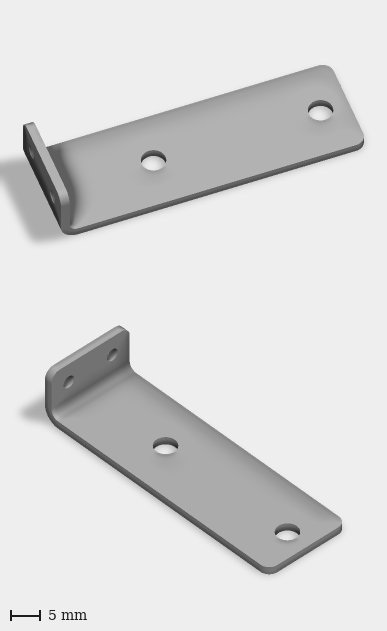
import cadquery as cq

width = 18.0
length = 55.0
height = 11.0

thickness = 1.6
inner_bend_radius = 1.6
outer_bend_radius = inner_bend_radius + thickness
corner_radius = 2.0

base_hole_diameter = 4.3
base_hole_edge_distance = 5.0
base_hole_spacing = 30.0

flange_hole_diameter = 2.5
flange_hole_top_distance = 4.0
flange_hole_spacing = 10.0



def bent_sheet():
    """L-shaped sheet, centred on X, with concentric bend radii."""
    profile = (
        cq.Workplane("YZ")
        .moveTo(length, 0)
        .lineTo(length, thickness)
        .lineTo(outer_bend_radius, thickness)
        .radiusArc((thickness, outer_bend_radius), inner_bend_radius)
        .lineTo(thickness, height)
        .lineTo(0, height)
        .lineTo(0, outer_bend_radius)
        .radiusArc((outer_bend_radius, 0), -outer_bend_radius)
        .close()
    )
    return profile.extrude(width / 2, both=True)


def base_holes():
    """Two cutters on the centreline of the base."""
    far_hole_y = length - base_hole_edge_distance
    near_hole_y = far_hole_y - base_hole_spacing
    return (
        cq.Workplane("XY")
        .pushPoints([(0, near_hole_y), (0, far_hole_y)])
        .circle(base_hole_diameter / 2)
        .extrude(thickness)
    )


def flange_holes():
    """Two cutters side by side through the flange."""
    hole_z = height - flange_hole_top_distance
    half_spacing = flange_hole_spacing / 2
    return (
        cq.Workplane("XZ")
        .pushPoints([(-half_spacing, hole_z), (half_spacing, hole_z)])
        .circle(flange_hole_diameter / 2)
        .extrude(-thickness)
    )


bracket = bent_sheet()

bracket = bracket.faces(">Y").edges("|Z").fillet(corner_radius)
bracket = bracket.faces(">Z").edges("|Y").fillet(corner_radius)

result = bracket.cut(base_holes()).cut(flange_holes())